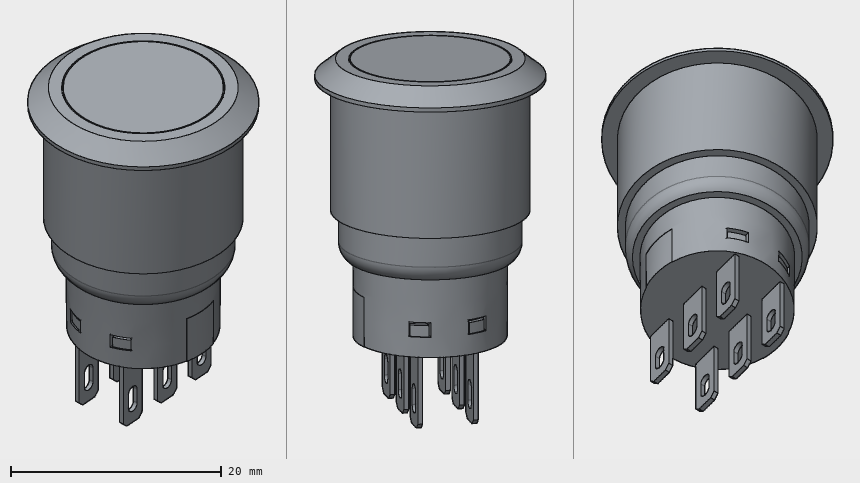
import cadquery as cq
import math

total_height = 34.7
flange_edge_top = 33.1
flange_bottom = 32.7
body_bottom = 19.7
collar_bottom = 15.15
base_bottom = 7.22

flange_diameter = 22.0
flange_top_diameter = 18.05
body_diameter = 19.0
collar_diameter = 17.5
collar_round_radius = 1.9
collar_round_height = 1.45
base_top_diameter = 14.7
base_bottom_diameter = 14.6

button_gap_outer_diameter = 15.5
button_gap_width = 0.15
button_gap_depth = 0.35

panel_width = 3.95
panel_height = 4.93

window_offset = 2.8
window_width = 1.95
window_height = 1.45
window_bottom = 9.23
window_floor_diameter = 13.3

tab_side_gap = 0.15
tab_top_gap = 0.35
tab_diameter = 14.3
tab_width = window_width - 2 * tab_side_gap
tab_height = window_height - tab_top_gap

terminal_offset = 2.75
terminal_pitch = 5.05
terminal_width = 2.8
terminal_thickness = 0.5
terminal_chamfer = 0.52
terminal_root = 0.35
slot_width = 1.25
slot_length = 2.85
slot_center_height = 2.7


def cylinder(diameter, bottom, height):
    return cq.Workplane("XY").workplane(offset=bottom).circle(diameter / 2).extrude(height)


def make_housing():
    """Revolved flange, body, rounded collar and slightly tapered base."""
    round_top = collar_bottom + collar_round_height
    round_center_x = collar_diameter / 2 - collar_round_radius
    end_angle = math.asin(collar_round_height / collar_round_radius)

    def round_point(angle):
        return (
            round_center_x + collar_round_radius * math.cos(angle),
            round_top - collar_round_radius * math.sin(angle),
        )

    return (
        cq.Workplane("XZ")
        .moveTo(0, base_bottom)
        .lineTo(base_bottom_diameter / 2, base_bottom)
        .lineTo(base_top_diameter / 2, collar_bottom)
        .lineTo(*round_point(end_angle))
        .threePointArc(round_point(end_angle / 2), round_point(0))
        .lineTo(collar_diameter / 2, body_bottom)
        .lineTo(body_diameter / 2, body_bottom)
        .lineTo(body_diameter / 2, flange_bottom)
        .lineTo(flange_diameter / 2, flange_bottom)
        .lineTo(flange_diameter / 2, flange_edge_top)
        .lineTo(flange_top_diameter / 2, total_height)
        .lineTo(0, total_height)
        .close()
        .revolve(360, (0, 0, 0), (0, 1, 0))
    )


def make_button_gap():
    """Ring-shaped cutter around the push button."""
    outer_radius = button_gap_outer_diameter / 2
    return (
        cq.Workplane("XY")
        .workplane(offset=total_height - button_gap_depth)
        .circle(outer_radius)
        .circle(outer_radius - button_gap_width)
        .extrude(button_gap_depth)
    )


def make_side_panels():
    """Slice of a straight cylinder that stays proud of the taper at both X ends."""
    panel_slice = (
        cq.Workplane("XY")
        .workplane(offset=base_bottom)
        .rect(base_top_diameter, panel_width)
        .extrude(panel_height)
    )
    return cylinder(base_top_diameter, base_bottom, panel_height).intersect(panel_slice)


def make_latch_blocks(width, height):
    """Blocks through the whole base along Y, one on each side of the center plane."""
    return (
        cq.Workplane("XY")
        .workplane(offset=window_bottom)
        .pushPoints([(-window_offset, 0), (window_offset, 0)])
        .rect(width, base_top_diameter)
        .extrude(height)
    )


def make_latch_windows():
    """Window cutters that stop at the inner floor cylinder and leave the tabs standing."""
    floor = cylinder(window_floor_diameter, window_bottom, window_height)
    tabs = make_latch_blocks(tab_width, tab_height).intersect(
        cylinder(tab_diameter, window_bottom, tab_height)
    )
    return make_latch_blocks(window_width, window_height).cut(floor).cut(tabs)


def make_terminal(x, y):
    """Flat blade with chamfered tip corners and a slotted eye."""
    blade = (
        cq.Workplane("XY")
        .box(terminal_thickness, terminal_width, base_bottom + terminal_root, centered=(True, True, False))
        .edges("|X and <Z")
        .chamfer(terminal_chamfer)
    )
    eye = (
        cq.Workplane("YZ")
        .center(0, slot_center_height)
        .slot2D(slot_length, slot_width, 90)
        .extrude(terminal_thickness, both=True)
    )
    return blade.cut(eye).translate((x, y, 0))


result = make_housing().cut(make_button_gap())
result = result.union(make_side_panels())
result = result.cut(make_latch_windows())
for x in (-terminal_offset, terminal_offset):
    for y in (-terminal_pitch, 0, terminal_pitch):
        result = result.union(make_terminal(x, y))